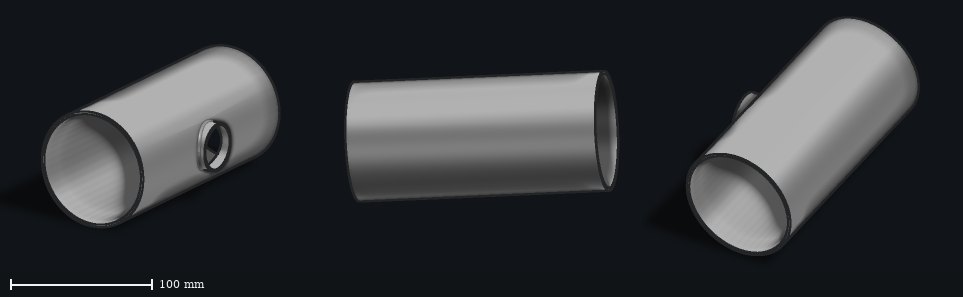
import cadquery as cq

pipe_length = 180
pipe_outer_diameter = 85.0
pipe_bore_diameter = 81

outlet_outer_diameter = 35.0
outlet_bore_diameter = 32.0
overall_width = 90
outlet_reach = overall_width - pipe_outer_diameter / 2
junction_radius = 2.0


def pipe_cylinder(diameter):
    """Cylinder along Y, centred on the origin."""
    return cq.Workplane("XZ").circle(diameter / 2).extrude(pipe_length / 2, both=True)


def outlet_cylinder(diameter):
    """Cylinder along +X, from the pipe axis to the outlet face."""
    return cq.Workplane("YZ").circle(diameter / 2).extrude(outlet_reach)


body = pipe_cylinder(pipe_outer_diameter).union(outlet_cylinder(outlet_outer_diameter))
outlet_zone = cq.selectors.BoxSelector(
    (0, -outlet_outer_diameter, -outlet_outer_diameter),
    (outlet_reach - junction_radius, outlet_outer_diameter, outlet_outer_diameter),
)
junction_edges = body.edges(outlet_zone).edges("not %LINE")
body = junction_edges.fillet(junction_radius)

result = body.cut(pipe_cylinder(pipe_bore_diameter)).cut(outlet_cylinder(outlet_bore_diameter))